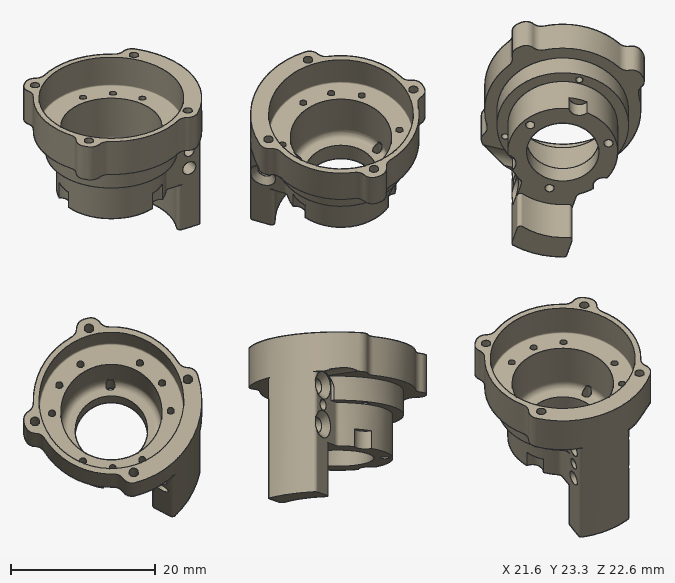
import cadquery as cq
import math

TOTAL_HEIGHT = 15.05
RIM_HEIGHT = 5.5
FLANGE_HEIGHT = 3.4
LUG_DROP = 7.5
RIM_BOTTOM = TOTAL_HEIGHT - RIM_HEIGHT
FLANGE_BOTTOM = RIM_BOTTOM - FLANGE_HEIGHT

RIM_RADIUS = 10.8
BACK_RADIUS = 12.5
FLANGE_RADIUS = 9.1
BODY_RADIUS = 7.6

EAR_HOLE_CIRCLE = 11.0
EAR_HALF_WIDTH = 1.75
EAR_ROUND = BACK_RADIUS - EAR_HOLE_CIRCLE
EAR_HOLE_RADIUS = 0.625
EAR_HOLE_DEPTH = 4.0
EAR_ANGLES = (45, 135, 225, 315)

POCKET_RADIUS = 10.0
POCKET_DEPTH = 4.8
POCKET_FILLET = 0.2
SEAT_RADIUS = 7.0
SEAT_FILLET = 1.0
BORE_RADIUS = 5.0
WEB_THICKNESS = 2.85
POCKET_FLOOR = TOTAL_HEIGHT - POCKET_DEPTH

FLOOR_HOLE_CIRCLE = 8.2
FLOOR_HOLE_RADIUS = 0.475
BLIND_HOLE_DEPTH = 3.0
DRILL_POINT_ANGLE = 118
BLIND_HOLE_ANGLES = (0, 60, 120, 180, 240, 300)
THROUGH_HOLE_ANGLES = (30, 150, 270)
HEAD_NOTCH_RADIUS = 1.5
HEAD_NOTCH_HEIGHT = 2.5
WEB_HOLE_CIRCLE = 6.5
WEB_HOLE_RADIUS = 0.625
WEB_HOLE_ANGLES = (90, 210, 330)

LUG_HALF_WIDTH = 3.95
LUG_EDGE_FILLET = 0.5
BODY_FILLET = 0.75
FLANGE_FILLET = 1.25

CROSS_HOLE_Y = 10.1
PIN_HOLE_Z = 5.15
PIN_HOLE_RADIUS = 0.77
SCREW_OFFSET_Z = 2.75
SCREW_HOLE_RADIUS = 1.03
COUNTERSINK_RADIUS = 1.93
COUNTERSINK_DEPTH = COUNTERSINK_RADIUS - SCREW_HOLE_RADIUS
HEAD_CLEARANCE_RADIUS = 2.1


def polar(radius, degrees):
    angle = math.radians(degrees)
    return (radius * math.cos(angle), radius * math.sin(angle))


def cylinder(radius, z_low, z_high):
    return cq.Workplane("XY").workplane(offset=z_low).circle(radius).extrude(z_high - z_low)


def axial_cylinders(circle_radius, angles, radius, z_low, z_high):
    places = [polar(circle_radius, angle) for angle in angles]
    plane = cq.Workplane("XY").workplane(offset=z_low)
    return plane.pushPoints(places).circle(radius).extrude(z_high - z_low)


def rim():
    """Round rim with a larger back sector and four blended screw ears."""
    tip_angle = math.degrees(math.asin((EAR_HALF_WIDTH - EAR_ROUND) / EAR_HOLE_CIRCLE))
    root_circle = RIM_RADIUS + EAR_ROUND
    centre_gap = 2 * EAR_ROUND
    cos_root = (EAR_HOLE_CIRCLE**2 + root_circle**2 - centre_gap**2) / (2 * EAR_HOLE_CIRCLE * root_circle)
    foot_angle = tip_angle + math.degrees(math.acos(cos_root))

    def blend_point(ear_angle, side):
        ear_x, ear_y = polar(EAR_HOLE_CIRCLE, ear_angle + side * tip_angle)
        root_x, root_y = polar(root_circle, ear_angle + side * foot_angle)
        return ((ear_x + root_x) / 2, (ear_y + root_y) / 2)

    def leave_ear(path, ear_angle):
        path = path.tangentArcPoint(blend_point(ear_angle, 1), relative=False)
        return path.tangentArcPoint(polar(RIM_RADIUS, ear_angle + foot_angle), relative=False)

    def enter_ear(path, ear_angle):
        path = path.tangentArcPoint(blend_point(ear_angle, -1), relative=False)
        return path.tangentArcPoint(polar(BACK_RADIUS, ear_angle - tip_angle), relative=False)

    first, second, third, fourth = EAR_ANGLES
    path = cq.Workplane("XY").workplane(offset=RIM_BOTTOM)
    path = path.moveTo(*polar(BACK_RADIUS, first - tip_angle))
    path = path.threePointArc(polar(BACK_RADIUS, 90), polar(BACK_RADIUS, second + tip_angle))
    for ear, next_ear in ((second, third), (third, fourth), (fourth, first + 360)):
        path = leave_ear(path, ear)
        middle = (ear + next_ear) / 2
        path = path.threePointArc(polar(RIM_RADIUS, middle), polar(RIM_RADIUS, next_ear - foot_angle))
        path = enter_ear(path, next_ear)
        if next_ear in (third, fourth):
            path = path.threePointArc(polar(BACK_RADIUS, next_ear), polar(BACK_RADIUS, next_ear + tip_angle))
    return path.close().extrude(RIM_HEIGHT)


def lug_block(z_low, z_high):
    """Lug stock from the axis to the back radius, with its back edges rounded."""
    height = z_high - z_low
    block = (
        cq.Workplane("XY")
        .workplane(offset=z_low)
        .center(0, BACK_RADIUS / 2)
        .rect(2 * LUG_HALF_WIDTH, BACK_RADIUS)
        .extrude(height)
        .intersect(cylinder(BACK_RADIUS, z_low, z_high))
    )
    back_edges = cq.selectors.BoxSelector(
        (-BACK_RADIUS, FLANGE_RADIUS, z_low), (BACK_RADIUS, BACK_RADIUS, z_high)
    )
    return block.edges("|Z").edges(back_edges).fillet(LUG_EDGE_FILLET)


def round_with_lug(radius, root_fillet, z_low, z_high):
    """Round step joined to the lug by vertical root fillets."""
    step = cylinder(radius, z_low, z_high).union(lug_block(z_low, z_high))
    root_y = math.sqrt(radius**2 - LUG_HALF_WIDTH**2)
    z_middle = (z_low + z_high) / 2
    for side in (-1, 1):
        root = (side * LUG_HALF_WIDTH, root_y, z_middle)
        step = step.edges(cq.selectors.NearestToPointSelector(root)).fillet(root_fillet)
    return step


def hanging_lug():
    """Lug below the body, hollowed in front to the flange radius."""
    lug = lug_block(-LUG_DROP, 0).cut(cylinder(FLANGE_RADIUS, -LUG_DROP, 0))
    return lug.edges("|Z").edges("<Y").fillet(LUG_EDGE_FILLET)


def stepped_bore():
    pocket = cylinder(POCKET_RADIUS, POCKET_FLOOR, TOTAL_HEIGHT).faces("<Z").edges().fillet(POCKET_FILLET)
    seat = cylinder(SEAT_RADIUS, WEB_THICKNESS, TOTAL_HEIGHT).faces("<Z").edges().fillet(SEAT_FILLET)
    return pocket.union(seat).union(cylinder(BORE_RADIUS, 0, TOTAL_HEIGHT))


def blind_floor_holes():
    """Drilled holes with conical ends in the pocket floor."""
    tip = FLOOR_HOLE_RADIUS / math.tan(math.radians(DRILL_POINT_ANGLE / 2))
    z_shoulder = POCKET_FLOOR - BLIND_HOLE_DEPTH
    drill = (
        cq.Workplane("XZ")
        .moveTo(0, z_shoulder - tip)
        .lineTo(FLOOR_HOLE_RADIUS, z_shoulder)
        .lineTo(FLOOR_HOLE_RADIUS, POCKET_FLOOR)
        .lineTo(0, POCKET_FLOOR)
        .close()
        .revolve(360, (0, 0), (0, 1))
    )
    holes = cq.Workplane("XY")
    for angle in BLIND_HOLE_ANGLES:
        x, y = polar(FLOOR_HOLE_CIRCLE, angle)
        holes = holes.add(drill.translate((x, y, 0)))
    return holes.combine()


def cross_cylinder(z, radius, x_low, x_high):
    plane = cq.Workplane("YZ").workplane(offset=x_low)
    return plane.center(CROSS_HOLE_Y, z).circle(radius).extrude(x_high - x_low)


def cross_holes():
    """Pin hole and two screw holes, countersunk on the -X side of the lug."""
    holes = cross_cylinder(PIN_HOLE_Z, PIN_HOLE_RADIUS, -LUG_HALF_WIDTH, LUG_HALF_WIDTH)
    for side in (-1, 1):
        z = PIN_HOLE_Z + side * SCREW_OFFSET_Z
        holes = holes.union(cross_cylinder(z, SCREW_HOLE_RADIUS, -LUG_HALF_WIDTH, BACK_RADIUS))
        countersink = cq.Solid.makeCone(
            COUNTERSINK_RADIUS,
            SCREW_HOLE_RADIUS,
            COUNTERSINK_DEPTH,
            cq.Vector(-LUG_HALF_WIDTH, CROSS_HOLE_Y, z),
            cq.Vector(1, 0, 0),
        )
        holes = holes.union(cq.Workplane(countersink))
    return holes


def head_clearance():
    """Slot beside the lug that frees the upper screw head, open downwards."""
    z_top_screw = PIN_HOLE_Z + SCREW_OFFSET_Z
    length = BACK_RADIUS - LUG_HALF_WIDTH
    width = 2 * HEAD_CLEARANCE_RADIUS
    height = z_top_screw - FLANGE_BOTTOM
    slot = cq.Workplane("XY").box(length, width, height, centered=(False, True, False))
    slot = slot.translate((-BACK_RADIUS, CROSS_HOLE_Y, FLANGE_BOTTOM))
    return slot.union(cross_cylinder(z_top_screw, HEAD_CLEARANCE_RADIUS, -BACK_RADIUS, -LUG_HALF_WIDTH))


outer = (
    rim()
    .union(round_with_lug(FLANGE_RADIUS, FLANGE_FILLET, FLANGE_BOTTOM, RIM_BOTTOM))
    .union(round_with_lug(BODY_RADIUS, BODY_FILLET, 0, FLANGE_BOTTOM))
    .union(hanging_lug())
)

ear_holes = axial_cylinders(
    EAR_HOLE_CIRCLE, EAR_ANGLES, EAR_HOLE_RADIUS, TOTAL_HEIGHT - EAR_HOLE_DEPTH, TOTAL_HEIGHT
)
through_holes = axial_cylinders(
    FLOOR_HOLE_CIRCLE, THROUGH_HOLE_ANGLES, FLOOR_HOLE_RADIUS, 0, POCKET_FLOOR
)
head_notches = axial_cylinders(
    FLOOR_HOLE_CIRCLE, THROUGH_HOLE_ANGLES, HEAD_NOTCH_RADIUS, 0, HEAD_NOTCH_HEIGHT
)
web_holes = axial_cylinders(
    WEB_HOLE_CIRCLE, WEB_HOLE_ANGLES, WEB_HOLE_RADIUS, 0, WEB_THICKNESS + SEAT_FILLET
)

result = (
    outer.cut(stepped_bore())
    .cut(ear_holes)
    .cut(through_holes)
    .cut(head_notches)
    .cut(blind_floor_holes())
    .cut(web_holes)
    .cut(head_clearance())
    .cut(cross_holes())
)